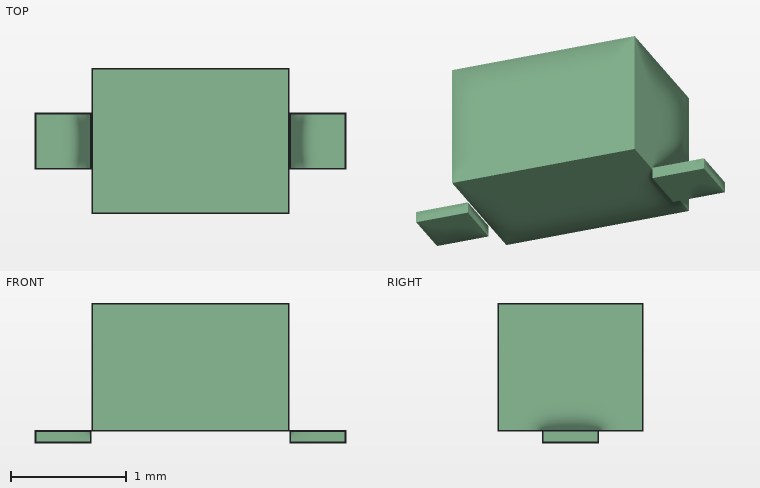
import cadquery as cq

overall_length = 2.68
overall_height = 1.2

housing_length = 1.7
housing_width = 1.25

lead_length = 0.48
lead_width = 0.48
lead_thickness = 0.1

housing_height = overall_height - lead_thickness
lead_center_x = (overall_length - lead_length) / 2


def make_housing():
    """Plain block whose underside is level with the tops of the leads."""
    return (
        cq.Workplane("XY")
        .workplane(offset=lead_thickness)
        .box(housing_length, housing_width, housing_height, centered=(True, True, False))
    )


def make_lead(side):
    """Flat lead beyond one end of the housing; side is -1 or +1 along X."""
    return (
        cq.Workplane("XY")
        .center(side * lead_center_x, 0)
        .box(lead_length, lead_width, lead_thickness, centered=(True, True, False))
    )


housing = make_housing()
leads = [make_lead(side) for side in (-1, 1)]

result = cq.Compound.makeCompound([housing.val(), *[lead.val() for lead in leads]])